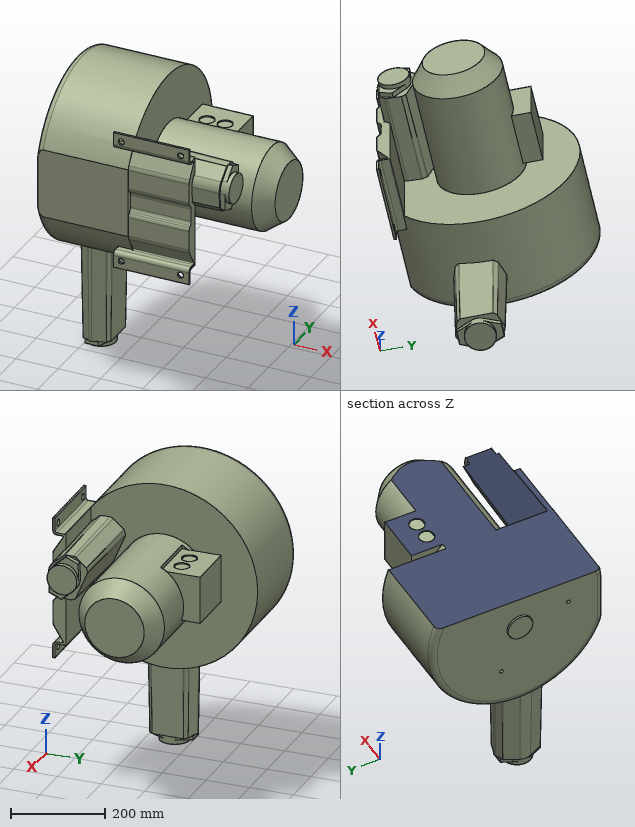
import cadquery as cq
import math


HOUSING_RADIUS = 214.0
HOUSING_DEPTH = 216.0
HOUSING_FILLET = 15.0
FLAT_Y = -198.0
BEVEL_WIDTH = 9.0
BEVEL_DEPTH = 2.0
HUB_RADIUS = 30.0
HUB_HEIGHT = 5.0
FRONT_HOLE_DIAMETER = 8.0
FRONT_HOLE_DEPTH = 10.0
FRONT_HOLE_CIRCLE_RADIUS = 120.0
FRONT_HOLE_COUNT = 3
FRONT_HOLE_START_ANGLE = 51.3

MOTOR_RADIUS = 98.0
MOTOR_LENGTH = 243.0
MOTOR_END_RADIUS = 68.0
MOTOR_TOTAL_LENGTH = 284.0

BOX_X = (14.0, 134.0)
BOX_Y = (46.0, 136.0)
BOX_Z = (-30.0, 78.0)
GLAND_DIAMETER = 34.0
GLAND_DEPTH = 3.0
GLAND_SPACING = 43.0
GLAND_CENTRE_X = 74.0
GLAND_Y = 78.5

BLOCK_LENGTH = 143.5
BLOCK_SETBACK = 0.5
BLOCK_BACK_Y = -168.0
BLOCK_HALF_HEIGHT = 132.0
BLOCK_SHOULDER_Z = 85.0
SHOULDER_ROUND = 18.0
GROOVE_TOP_HALF = 30.0
GROOVE_BOTTOM_HALF = 20.0
GROOVE_DEPTH = 10.0
GROOVE_ROUND = 12.0

SILENCER_TAPER = 1.0
SILENCER_FLAT_X = 40.0
SILENCER_FLAT_CORNER = (33.0, 44.0)
SILENCER_FLAT_HALF = 36.0
SILENCER_SIDE_ROUND = ((3.0, 53.5), (-2.9, 53.2))
SILENCER_SHOULDER = (-21.0, 45.5)
SILENCER_NOSE = (-37.5, 12.5)
SILENCER_NOSE_TIP_X = -40.0
FLANGE_END_Y = 48.5
FLANGE_END_HALF_WIDTH = 15.5
FLANGE_HEIGHT = 11.0
PIPE_RADIUS = 34.0
PIPE_HEIGHT = 10.0
SILENCER_OFFSET = 143.0
REAR_SILENCER_Z = 63.5
REAR_SILENCER_LENGTH = 207.0
REAR_SILENCER_TURN = 23.0
LOWER_SILENCER_Y = -33.5
LOWER_SILENCER_LENGTH = 250.0
LOWER_PIPE_END_Z = -446.05

BRACKET_START_X = -35.0
BRACKET_THICKNESS = 5.0
BRACKET_BEND_RADIUS = 10.0
BRACKET_LEG_Z = 125.0
BRACKET_TOP_Z = 163.5
BRACKET_HOLE_DIAMETER = 14.0
BRACKET_HOLE_X = (-16.5, 123.5)
BRACKET_HOLE_Z = 145.0
BRACKET_ROOT_FILLET = 2.2


def make_round_housing():
    drum = cq.Workplane("YZ").circle(HOUSING_RADIUS).extrude(-HOUSING_DEPTH)
    drum = drum.faces("<X").edges().fillet(HOUSING_FILLET)
    side_waste = cq.Workplane("YZ").rect(2 * HOUSING_RADIUS, 2 * HOUSING_RADIUS).extrude(-HOUSING_DEPTH)
    drum = drum.cut(side_waste.translate((0, FLAT_Y - HOUSING_RADIUS, 0)))
    bevel = (
        cq.Workplane("XY")
        .polyline([
            (-HOUSING_DEPTH, FLAT_Y),
            (-HOUSING_DEPTH + BEVEL_DEPTH, FLAT_Y),
            (-HOUSING_DEPTH, FLAT_Y + BEVEL_WIDTH),
        ])
        .close()
        .extrude(HOUSING_RADIUS, both=True)
    )
    hub = cq.Workplane("YZ").workplane(offset=-HOUSING_DEPTH).circle(HUB_RADIUS).extrude(-HUB_HEIGHT)
    holes = (
        cq.Workplane("YZ")
        .workplane(offset=-HOUSING_DEPTH)
        .polarArray(FRONT_HOLE_CIRCLE_RADIUS, FRONT_HOLE_START_ANGLE, 360, FRONT_HOLE_COUNT)
        .circle(FRONT_HOLE_DIAMETER / 2)
        .extrude(FRONT_HOLE_DEPTH)
    )
    return drum.cut(bevel).union(hub).cut(holes)


def make_motor():
    half_section = [
        (0, 0),
        (0, MOTOR_RADIUS),
        (MOTOR_LENGTH, MOTOR_RADIUS),
        (MOTOR_TOTAL_LENGTH, MOTOR_END_RADIUS),
        (MOTOR_TOTAL_LENGTH, 0),
    ]
    motor = cq.Workplane("XY").polyline(half_section).close().revolve(360, (0, 0, 0), (1, 0, 0))
    box_clearance = cq.Workplane("XY").box(
        BOX_X[1] - BOX_X[0], BOX_Y[1] - BOX_Y[0], MOTOR_RADIUS, centered=False
    ).translate((BOX_X[0], BOX_Y[0], BOX_Z[1]))
    return motor.cut(box_clearance)


def make_terminal_box():
    box = cq.Workplane("XY").box(
        BOX_X[1] - BOX_X[0], BOX_Y[1] - BOX_Y[0], BOX_Z[1] - BOX_Z[0], centered=False
    ).translate((BOX_X[0], BOX_Y[0], BOX_Z[0]))
    glands = (
        cq.Workplane("XY", origin=(GLAND_CENTRE_X, GLAND_Y, BOX_Z[1]))
        .rarray(GLAND_SPACING, 1, 2, 1)
        .circle(GLAND_DIAMETER / 2)
        .extrude(-GLAND_DEPTH)
    )
    return box.cut(glands)


def make_port_block():
    front_y = FLAT_Y + BLOCK_SETBACK
    groove_y = front_y + GROOVE_DEPTH
    upper_half = [
        (BLOCK_BACK_Y, BLOCK_HALF_HEIGHT),
        (front_y, BLOCK_SHOULDER_Z),
        (front_y, GROOVE_TOP_HALF),
        (groove_y, GROOVE_BOTTOM_HALF),
    ]
    lower_half = [(y, -z) for y, z in reversed(upper_half)]
    block = cq.Workplane("YZ").polyline(upper_half + lower_half).close().extrude(BLOCK_LENGTH)

    def edges_at(edge_y, edge_z):
        for side in (1, -1):
            yield cq.selectors.BoxSelector(
                (-1, edge_y - 1, side * edge_z - 1),
                (BLOCK_LENGTH + 1, edge_y + 1, side * edge_z + 1),
            )

    for edge_y, edge_z, radius in (
        (front_y, BLOCK_SHOULDER_Z, SHOULDER_ROUND),
        (front_y, GROOVE_TOP_HALF, GROOVE_ROUND),
        (groove_y, GROOVE_BOTTOM_HALF, GROOVE_ROUND),
    ):
        for selector in edges_at(edge_y, edge_z):
            block = block.edges(selector).fillet(radius)
    return block


def silencer_outline(plane):
    """Closed eight-sided outline, symmetric about its local X axis, with a rounded nose on -X."""
    flat_end = (SILENCER_FLAT_X, SILENCER_FLAT_HALF)
    round_start, round_end = SILENCER_SIDE_ROUND

    def mirrored(point):
        return (point[0], -point[1])

    return (
        cq.Workplane(plane)
        .moveTo(*flat_end)
        .lineTo(*SILENCER_FLAT_CORNER)
        .lineTo(*round_start)
        .tangentArcPoint(round_end, relative=False)
        .lineTo(*SILENCER_SHOULDER)
        .lineTo(*SILENCER_NOSE)
        .threePointArc((SILENCER_NOSE_TIP_X, 0), mirrored(SILENCER_NOSE))
        .lineTo(*mirrored(SILENCER_SHOULDER))
        .lineTo(*mirrored(round_end))
        .tangentArcPoint(mirrored(round_start), relative=False)
        .lineTo(*mirrored(SILENCER_FLAT_CORNER))
        .lineTo(*mirrored(flat_end))
        .close()
    )


def flange_outline(plane):
    """Round middle of the pipe's radius, running tangentially out to two flat ends on +-Y."""
    end_distance = math.hypot(FLANGE_END_HALF_WIDTH, FLANGE_END_Y)
    end_angle = math.atan2(FLANGE_END_Y, FLANGE_END_HALF_WIDTH)
    tangent_angle = end_angle - math.acos(PIPE_RADIUS / end_distance)
    tangent_x = PIPE_RADIUS * math.cos(tangent_angle)
    tangent_y = PIPE_RADIUS * math.sin(tangent_angle)
    return (
        cq.Workplane(plane)
        .moveTo(tangent_x, -tangent_y)
        .threePointArc((PIPE_RADIUS, 0), (tangent_x, tangent_y))
        .lineTo(FLANGE_END_HALF_WIDTH, FLANGE_END_Y)
        .lineTo(-FLANGE_END_HALF_WIDTH, FLANGE_END_Y)
        .lineTo(-tangent_x, tangent_y)
        .threePointArc((-PIPE_RADIUS, 0), (-tangent_x, -tangent_y))
        .lineTo(-FLANGE_END_HALF_WIDTH, -FLANGE_END_Y)
        .lineTo(FLANGE_END_HALF_WIDTH, -FLANGE_END_Y)
        .close()
    )


def make_silencer(end_point, flat_direction, inward, length):
    """Tube that widens from end_point along inward, with its flange and pipe on the other side."""
    plane = cq.Plane(origin=end_point, xDir=flat_direction, normal=inward)
    tube = silencer_outline(plane).extrude(length, taper=-SILENCER_TAPER)
    flange = flange_outline(plane).extrude(-FLANGE_HEIGHT)
    pipe = cq.Workplane(plane).circle(PIPE_RADIUS).extrude(-FLANGE_HEIGHT - PIPE_HEIGHT)
    return tube.union(flange).union(pipe)


def make_rear_silencer():
    turn = math.radians(REAR_SILENCER_TURN)
    return make_silencer(
        (REAR_SILENCER_LENGTH, -SILENCER_OFFSET, REAR_SILENCER_Z),
        (0, math.cos(turn), -math.sin(turn)),
        (-1, 0, 0),
        REAR_SILENCER_LENGTH,
    )


def make_lower_silencer():
    tube_end_z = LOWER_PIPE_END_Z + PIPE_HEIGHT + FLANGE_HEIGHT
    return make_silencer(
        (-SILENCER_OFFSET, LOWER_SILENCER_Y, tube_end_z), (1, 0, 0), (0, 0, 1), LOWER_SILENCER_LENGTH
    )


def make_bracket(side):
    """Angle on the upper (side = 1) or lower (side = -1) slope, its leg reaching into the block."""
    section = [
        (BLOCK_BACK_Y, BRACKET_LEG_Z),
        (FLAT_Y, BRACKET_LEG_Z),
        (FLAT_Y, BRACKET_TOP_Z),
        (FLAT_Y + BRACKET_THICKNESS, BRACKET_TOP_Z),
        (FLAT_Y + BRACKET_THICKNESS, BRACKET_LEG_Z + BRACKET_THICKNESS),
        (BLOCK_BACK_Y, BRACKET_LEG_Z + BRACKET_THICKNESS),
    ]
    bracket = (
        cq.Workplane("YZ", origin=(BRACKET_START_X, 0, 0))
        .polyline(section)
        .close()
        .extrude(BLOCK_LENGTH - BRACKET_START_X)
    )
    bracket = bracket.edges("|X and <Y and <Z").fillet(BRACKET_BEND_RADIUS)
    inner_bend = cq.selectors.NearestToPointSelector(
        (
            (BLOCK_LENGTH + BRACKET_START_X) / 2,
            FLAT_Y + BRACKET_THICKNESS,
            BRACKET_LEG_Z + BRACKET_THICKNESS,
        )
    )
    bracket = bracket.edges("|X").edges(inner_bend).fillet(BRACKET_BEND_RADIUS - BRACKET_THICKNESS)
    holes = (
        cq.Workplane("XZ", origin=(0, FLAT_Y, 0))
        .pushPoints([(x, BRACKET_HOLE_Z) for x in BRACKET_HOLE_X])
        .circle(BRACKET_HOLE_DIAMETER / 2)
        .extrude(-BRACKET_THICKNESS)
    )
    bracket = bracket.cut(holes)
    if side < 0:
        bracket = bracket.mirror("XY")
    return bracket


def make_foot():
    """Port block with both brackets, filleted along the roots of the bracket legs."""
    foot = make_port_block()
    for side in (1, -1):
        foot = foot.union(make_bracket(side))
    front_y = FLAT_Y + BLOCK_SETBACK
    slope = (BLOCK_BACK_Y - front_y) / (BLOCK_HALF_HEIGHT - BLOCK_SHOULDER_Z)
    for side in (1, -1):
        for root_z in (BRACKET_LEG_Z, BRACKET_LEG_Z + BRACKET_THICKNESS):
            root_y = front_y + slope * (root_z - BLOCK_SHOULDER_Z)
            root = cq.selectors.NearestToPointSelector((BLOCK_LENGTH / 2, root_y, side * root_z))
            foot = foot.edges("|X").edges(root).fillet(BRACKET_ROOT_FILLET)
    return foot


rear_silencer = make_rear_silencer()
drive = make_motor().union(make_terminal_box())
blower = make_round_housing().union(drive).union(make_foot()).cut(rear_silencer)
lower_silencer = make_lower_silencer().cut(blower)
silencers = [rear_silencer, lower_silencer]

result = cq.Compound.makeCompound([blower.val(), *[silencer.val() for silencer in silencers]])